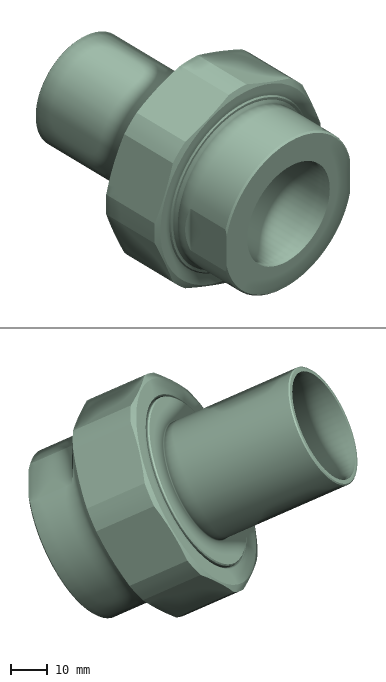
import cadquery as cq
import math


length = 80.5
flange_front = 40.8
nut_front = 41.4
lip_end = 44.3
joint = 48.3
nut_back = 61.4
collar_end = 61.8
taper_end = 62.6

bore_dia = 32.0
tube_dia = 35.0
flange_dia = 50.0
lip_bore_dia = 50.5
body_dia = 50.0
taper_dia = 51.7
cavity_dia = 54.0

nut_corner_dia = 64.65
nut_across_flats = 62.0
nut_face_dia = 61.0
nut_front_chamfer = 0.7
nut_back_chamfer = 0.6
nut_sides = 8
lip_chamfer = 0.5

tube_chamfer = 0.3
root_fillet = 0.3
flange_chamfer = 0.3
collar_chamfer = 0.4
body_chamfer = 0.5

across_wrench_flats = 47.9
flat_start = 66.5


def revolve_about_x(profile):
    """Revolve a closed (X, radius) outline about the X axis."""
    return profile.close().revolve(360, (0, 0, 0), (1, 0, 0))


def disc(start, end, diameter):
    return cq.Workplane("YZ").workplane(offset=start).circle(diameter / 2).extrude(end - start)


def make_tail():
    """Tube with a flange that the nut lip holds by its wider rear collar."""
    tube_radius = tube_dia / 2
    flange_radius = flange_dia / 2
    collar_radius = cavity_dia / 2
    profile = (
        cq.Workplane("XY")
        .moveTo(0, bore_dia / 2)
        .lineTo(0, tube_radius - tube_chamfer)
        .lineTo(tube_chamfer, tube_radius)
        .lineTo(flange_front - root_fillet, tube_radius)
        .radiusArc((flange_front, tube_radius + root_fillet), -root_fillet)
        .lineTo(flange_front, flange_radius - flange_chamfer)
        .lineTo(flange_front + flange_chamfer, flange_radius)
        .lineTo(lip_end, flange_radius)
        .lineTo(lip_end, collar_radius)
        .lineTo(joint, collar_radius)
        .lineTo(joint, bore_dia / 2)
    )
    return revolve_about_x(profile)


def make_nut():
    """Octagonal nut with rounded corners, chamfered ends and a stepped bore."""
    octagon_dia = nut_across_flats / math.cos(math.pi / nut_sides)
    octagon = (
        cq.Workplane("YZ")
        .workplane(offset=nut_front)
        .polygon(nut_sides, octagon_dia)
        .extrude(nut_back - nut_front)
    )
    face_radius = nut_face_dia / 2
    corner_radius = nut_corner_dia / 2
    cavity_radius = cavity_dia / 2
    lip_radius = lip_bore_dia / 2
    turned_profile = (
        cq.Workplane("XY")
        .moveTo(nut_front, face_radius)
        .lineTo(nut_front + nut_front_chamfer, corner_radius)
        .lineTo(nut_back - nut_back_chamfer, corner_radius)
        .lineTo(nut_back, face_radius)
        .lineTo(nut_back, cavity_radius)
        .lineTo(lip_end, cavity_radius)
        .lineTo(lip_end, lip_radius)
        .lineTo(nut_front + lip_chamfer, lip_radius)
        .lineTo(nut_front, lip_radius + lip_chamfer)
    )
    return octagon.intersect(revolve_about_x(turned_profile))


def cut_wrench_flats(body):
    """Cut flats on the -Y and +Y sides, each with a 45 degree run-out towards the nut."""
    flat_y = across_wrench_flats / 2
    outer_y = cavity_dia / 2
    runout = outer_y - flat_y
    for side in (-1, 1):
        cutter = (
            cq.Workplane("XY")
            .moveTo(flat_start, side * flat_y)
            .lineTo(length, side * flat_y)
            .lineTo(length, side * outer_y)
            .lineTo(flat_start - runout, side * outer_y)
            .close()
            .extrude(body_dia / 2, both=True)
        )
        body = body.cut(cutter)
    return body


def make_body():
    """Collar seated in the nut with a chamfered rim, a short taper and the round end with flats."""
    collar = disc(joint, nut_back, cavity_dia)
    body_radius = body_dia / 2
    end_profile = (
        cq.Workplane("XY")
        .moveTo(nut_back, 0)
        .lineTo(nut_back, cavity_dia / 2)
        .lineTo(collar_end, cavity_dia / 2 - collar_chamfer)
        .lineTo(collar_end, taper_dia / 2)
        .lineTo(taper_end, body_radius)
        .lineTo(length - body_chamfer, body_radius)
        .lineTo(length, body_radius - body_chamfer)
        .lineTo(length, 0)
    )
    round_end = cut_wrench_flats(revolve_about_x(end_profile))
    return collar.union(round_end).cut(disc(joint, length, bore_dia))


tail = make_tail()
nut = make_nut()
body = make_body()

result = cq.Compound.makeCompound([tail.val(), nut.solids().val(), body.solids().val()])